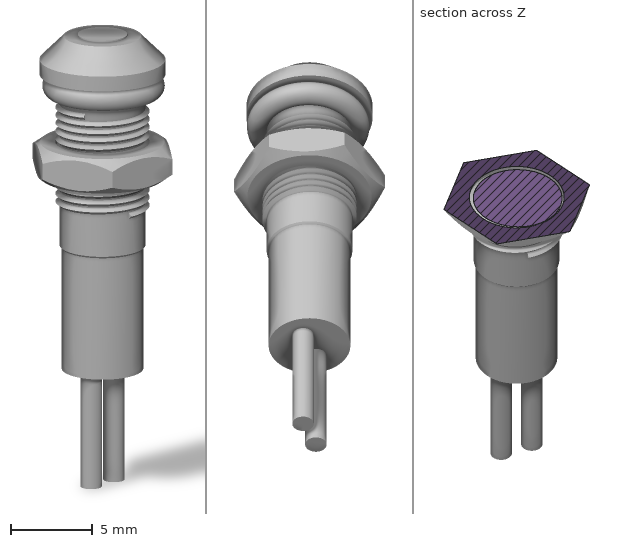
import cadquery as cq
import math

total_height = 28.6
barrel_bottom = 7.3
shaft_bottom = 15.15
nut_bottom = 19.53
nut_height = 2.2
head_bottom = 26.05
cone_height = 1.5
lens_height = 0.11
rim_top = total_height - lens_height

wire_diameter = 1.32
wire_spacing = 2.05
barrel_diameter = 5.0
barrel_radius = barrel_diameter / 2
shaft_radius = 2.63
shaft_chamfer = shaft_radius - barrel_radius
head_radius = 3.85
rim_radius = head_radius - cone_height
lens_radius = 1.52

thread_radius = 2.9
thread_length = 6.4
ridge_width = 0.5
ridge_root_depth = 0.05
thread_turns = 12.83
thread_pitch = thread_length / thread_turns
thread_start_angle = -10.0
thread_start_height = 17.62

ring_section_radius = 0.72
ring_outer_radius = 3.75
ring_offset = 0.1
ring_center_radius = ring_outer_radius - ring_section_radius

nut_across_flats = 8.0
nut_corner_radius = nut_across_flats / math.sqrt(3)
nut_turn = 20.0
nut_face_radius = 3.8
nut_chamfer_height = 0.6


def make_ring():
    """Round-section ring touching the underside of the head."""
    return (
        cq.Workplane("XZ")
        .center(ring_center_radius, 0)
        .circle(ring_section_radius)
        .revolve(360, (-ring_center_radius, 0), (-ring_center_radius, 1))
        .translate((ring_offset, 0, head_bottom - ring_section_radius))
    )


def make_turned_body():
    """Barrel, shaft, conical head and lens as one turned profile."""
    return (
        cq.Workplane("XZ")
        .moveTo(0, barrel_bottom)
        .lineTo(barrel_radius, barrel_bottom)
        .lineTo(barrel_radius, shaft_bottom - shaft_chamfer)
        .lineTo(shaft_radius, shaft_bottom)
        .lineTo(shaft_radius, head_bottom)
        .lineTo(head_radius, head_bottom)
        .lineTo(head_radius, rim_top - cone_height)
        .lineTo(rim_radius, rim_top)
        .lineTo(lens_radius, rim_top)
        .lineTo(lens_radius, total_height)
        .lineTo(0, total_height)
        .close()
        .revolve(360, (0, 0), (0, 1))
    )


def make_thread():
    """Right-handed helical ridge whose root is sunk a little into the shaft."""
    root_radius = shaft_radius - ridge_root_depth
    path = cq.Wire.makeHelix(thread_pitch, thread_length, root_radius)
    ridge = (
        cq.Workplane("XZ")
        .moveTo(root_radius, -ridge_width / 2)
        .lineTo(thread_radius, 0)
        .lineTo(root_radius, ridge_width / 2)
        .close()
        .sweep(path, isFrenet=True)
    )
    turned_ridge = ridge.rotate((0, 0, 0), (0, 0, 1), thread_start_angle)
    return turned_ridge.translate((0, 0, thread_start_height))


def make_wires():
    """Two parallel wires that end at the barrel bottom."""
    return (
        cq.Workplane("XY")
        .pushPoints([(0, -wire_spacing / 2), (0, wire_spacing / 2)])
        .circle(wire_diameter / 2)
        .extrude(barrel_bottom)
    )


def make_nut():
    """Double-chamfered hexagon with a plain bore that runs on the thread crest."""
    hexagon = (
        cq.Workplane("XY")
        .polygon(6, 2 * nut_corner_radius)
        .extrude(nut_height)
        .rotate((0, 0, 0), (0, 0, 1), nut_turn)
    )
    chamfer_envelope = (
        cq.Workplane("XZ")
        .moveTo(0, 0)
        .lineTo(nut_face_radius, 0)
        .lineTo(nut_corner_radius, nut_chamfer_height)
        .lineTo(nut_corner_radius, nut_height - nut_chamfer_height)
        .lineTo(nut_face_radius, nut_height)
        .lineTo(0, nut_height)
        .close()
        .revolve(360, (0, 0), (0, 1))
    )
    bore = cq.Workplane("XY").circle(thread_radius).extrude(nut_height)
    return hexagon.intersect(chamfer_envelope).cut(bore).translate((0, 0, nut_bottom))


def make_indicator(ring):
    """Turned body with thread and wires in one piece, grooved to seat the ring."""
    return make_turned_body().union(make_thread()).union(make_wires()).cut(ring)


ring = make_ring()
indicator = make_indicator(ring)
nut = make_nut()
result = cq.Compound.makeCompound([indicator.solids().val(), ring.solids().val(), nut.solids().val()])